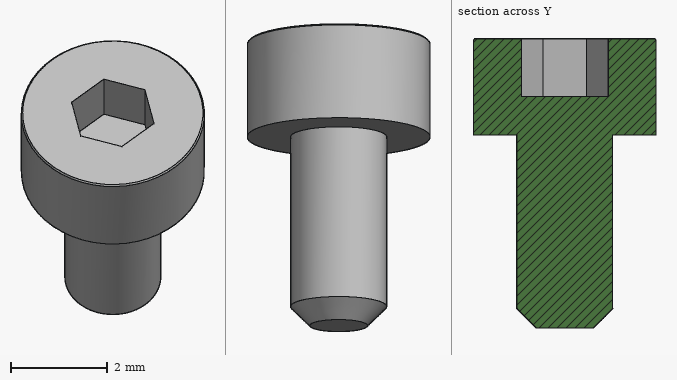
import cadquery as cq
import math

total_length = 6.0
head_diameter = 3.8
shank_diameter = 2.0
head_height = shank_diameter
shank_length = total_length - head_height
head_edge_chamfer = 0.03
tip_chamfer = 0.4

socket_across_flats = 1.555
socket_depth = 0.6 * head_height
socket_across_corners = socket_across_flats / math.cos(math.pi / 6)


def make_head():
    head = cq.Workplane("XY").circle(head_diameter / 2).extrude(head_height)
    return head.faces(">Z").edges().chamfer(head_edge_chamfer)


def make_shank():
    shank = cq.Workplane("XY").circle(shank_diameter / 2).extrude(-shank_length)
    return shank.faces("<Z").edges().chamfer(tip_chamfer)


def make_socket():
    top = cq.Workplane("XY").workplane(offset=head_height)
    return top.polygon(6, socket_across_corners).extrude(-socket_depth)


result = make_head().union(make_shank()).cut(make_socket())